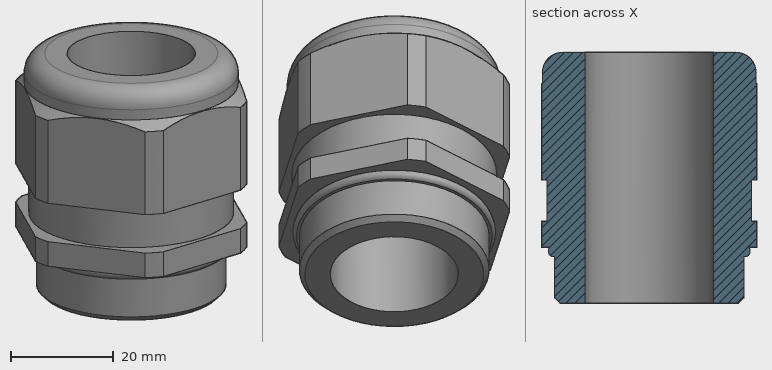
import cadquery as cq

total_height = 49.0
across_flats = 42.0
across_corners = 46.5
bore_diameter = 25.0

thread_top = 9.1
lower_hex_bottom = 10.95
lower_hex_top = 16.0
upper_hex_bottom = 24.0
upper_hex_top = 42.88

thread_diameter = 37.0
thread_chamfer = 1.1
seal_top_radius = 19.5
seal_crest_radius = 19.75
seal_crest_level = 10.2
seal_bottom_radius = 19.05
neck_diameter = 40.0
dome_diameter = 41.8
dome_rounding = 4.0

bevel_height = 1.65


def cylinder(diameter, bottom, top):
    return cq.Workplane("XY").workplane(offset=bottom).circle(diameter / 2).extrude(top - bottom)


def hexagon(bottom, top):
    """Hexagonal prism with corners on the X axis, rounded to across_corners."""
    prism = (
        cq.Workplane("XY")
        .workplane(offset=bottom)
        .polygon(6, across_flats, circumscribed=True)
        .extrude(top - bottom)
        .rotate((0, 0, 0), (0, 0, 1), 30)
    )
    return prism.intersect(cylinder(across_corners, bottom, top))


def seal_ring():
    """Solid ring with a single bulging arc as its rim."""
    return (
        cq.Workplane("XZ")
        .moveTo(0, thread_top)
        .lineTo(seal_bottom_radius, thread_top)
        .threePointArc((seal_crest_radius, seal_crest_level), (seal_top_radius, lower_hex_bottom))
        .lineTo(0, lower_hex_bottom)
        .close()
        .revolve(360, (0, 0, 0), (0, 1, 0))
    )


def bevel_envelope():
    """Turned blank whose conical top bevels the hexagon down to the dome."""
    outer_radius = across_corners / 2
    return (
        cq.Workplane("XZ")
        .moveTo(0, upper_hex_bottom)
        .lineTo(outer_radius, upper_hex_bottom)
        .lineTo(outer_radius, upper_hex_top - bevel_height)
        .lineTo(dome_diameter / 2, upper_hex_top)
        .lineTo(0, upper_hex_top)
        .close()
        .revolve(360, (0, 0, 0), (0, 1, 0))
    )


thread = cylinder(thread_diameter, 0, thread_top).faces("<Z").chamfer(thread_chamfer)
seal = seal_ring()
lower_hex = hexagon(lower_hex_bottom, lower_hex_top)
neck = cylinder(neck_diameter, lower_hex_top, upper_hex_bottom)
upper_hex = hexagon(upper_hex_bottom, upper_hex_top).intersect(bevel_envelope())
dome = cylinder(dome_diameter, upper_hex_top, total_height).faces(">Z").edges().fillet(dome_rounding)
bore = cylinder(bore_diameter, 0, total_height)

result = thread.union(seal).union(lower_hex).union(neck).union(upper_hex).union(dome).cut(bore)